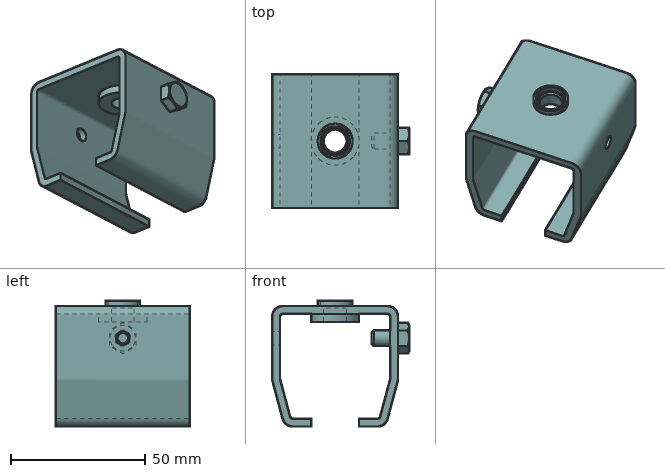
import cadquery as cq
import math

length = 50.0
width = 47.0
height = 45.0
sheet = 3.0
outer_bend = 4.0
taper_angle = 15.0
straight_depth = 27.1
mouth = 17.7

collar_diameter = 13.0
collar_height = 2.0
flange_diameter = 17.98
flange_height = 3.0
bore_diameter = 8.5
recess_diameter = 11.0
recess_depth = 2.0
bore_mouth_diameter = 10.0

bolt_depth = 12.0
pilot_diameter = 5.0
shank_diameter = 6.0
shank_length = 10.0
tip_chamfer = 1.0
head_sides = 6
head_flats = 10.0
head_height = 4.2
head_end_diameter = 9.5
head_chamfer_angle = 30.0

half_width = width / 2


def channel_outline():
    """Sharp-cornered outer outline of the channel, in the plane of its +Y end."""
    taper = math.radians(taper_angle)
    corner_depth = straight_depth + outer_bend * math.tan(taper / 2)
    bottom_half_width = half_width - (height - corner_depth) * math.tan(taper)
    return (
        cq.Workplane("XZ", origin=(0, length / 2, 0))
        .polyline([
            (-half_width, 0),
            (half_width, 0),
            (half_width, -corner_depth),
            (bottom_half_width, -height),
            (-bottom_half_width, -height),
            (-half_width, -corner_depth),
        ])
        .close()
    )


def channel():
    """Tapered C-section: rounded closed tube with a mouth cut through its floor."""
    outside = channel_outline().extrude(length).edges("|Y").fillet(outer_bend)
    inside = (
        channel_outline()
        .offset2D(-sheet, "intersection")
        .extrude(length)
        .edges("|Y")
        .fillet(outer_bend - sheet)
    )
    mouth_cut = cq.Workplane("XY", origin=(0, 0, -height)).box(
        mouth, length, sheet, centered=(True, True, False)
    )
    return outside.cut(inside).cut(mouth_cut)


def cylinder_up(diameter, bottom, top):
    """Vertical cylinder on the bush axis between two Z levels."""
    return cq.Workplane("XY", origin=(0, 0, bottom)).circle(diameter / 2).extrude(top - bottom)


def bush_body():
    flange_bottom = -sheet - flange_height
    flange = cylinder_up(flange_diameter, flange_bottom, -sheet)
    collar = cylinder_up(collar_diameter, flange_bottom, collar_height)
    return flange.union(collar)


def bush_bore():
    """Stepped bore: recess at the top, 45 degree lead-in, through hole."""
    bottom = -sheet - flange_height
    recess_floor = collar_height - recess_depth
    lead_in = (bore_mouth_diameter - bore_diameter) / 2
    return (
        cq.Workplane("XZ")
        .polyline([
            (0, bottom),
            (bore_diameter / 2, bottom),
            (bore_diameter / 2, recess_floor - lead_in),
            (bore_mouth_diameter / 2, recess_floor),
            (recess_diameter / 2, recess_floor),
            (recess_diameter / 2, collar_height),
            (0, collar_height),
        ])
        .close()
        .revolve(360, (0, 0), (0, 1))
    )


def bolt():
    """Hex bolt pointing along -X, head seated on the +X wall."""
    seat = cq.Workplane("YZ", origin=(half_width, 0, -bolt_depth))
    shank = seat.circle(shank_diameter / 2).extrude(-shank_length).faces("<X").chamfer(tip_chamfer)
    corner_diameter = head_flats / math.cos(math.pi / head_sides)
    head = (
        seat.polygon(head_sides, corner_diameter)
        .extrude(head_height)
        .rotate((0, 0, -bolt_depth), (1, 0, -bolt_depth), 90)
    )
    chamfer_radial = (corner_diameter - head_end_diameter) / 2
    chamfer_axial = chamfer_radial * math.tan(math.radians(head_chamfer_angle))
    rounding = (
        seat.circle(corner_diameter / 2)
        .extrude(head_height)
        .faces(">X")
        .edges()
        .chamfer(chamfer_axial, chamfer_radial)
    )
    return shank.union(head.intersect(rounding))


def pilot_hole():
    return (
        cq.Workplane("YZ", origin=(-half_width, 0, -bolt_depth))
        .circle(pilot_diameter / 2)
        .extrude(sheet)
    )


result = channel().cut(pilot_hole()).union(bush_body()).cut(bush_bore()).union(bolt())